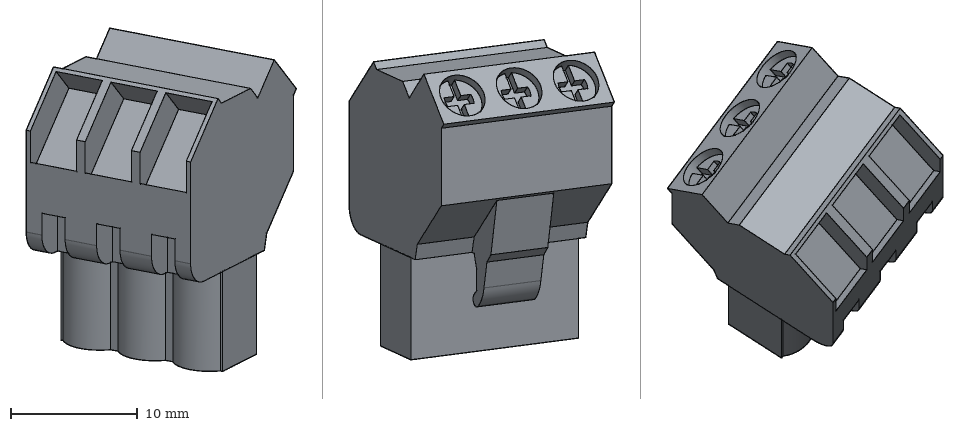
import cadquery as cq
import math


pole_count = 3
width = 15.24
pitch = width / pole_count
pole_centres = [(i - (pole_count - 1) / 2) * pitch for i in range(pole_count)]

lead_rise = 10.44
lead_chamfer = 4.11
lip_drop = 0.52
valley_y = 10.08
valley_z = 12.93
screw_rise = 2.47
screw_face_run = 3.33
eave_drop = 0.43
back_bottom_z = 5.35
skirt_y = 11.43
skirt_z = 1.33
foot_y = 11.08
front_radius = 2.0

peak_y = lead_chamfer
peak_z = lead_rise + lead_chamfer
roof_z = peak_z - lip_drop
tower_y = valley_y + screw_rise
tower_z = valley_z + screw_rise
eave_y = tower_y + screw_face_run
eave_z = tower_z - screw_face_run
back_y = eave_y - eave_drop

plug_length = 8.37
plug_width = 14.98
plug_front_y = 5.02
plug_back_y = 10.13
bulge_width = 4.4
bulge_height = 0.97

pocket_width = 4.28
pocket_depth = 2.7
pocket_top_margin = 0.35
pocket_overrun = 1.83

notch_width = 2.16
notch_height = 3.8
notch_depth = 2.38

latch_width = pitch
latch_root_y = 15.24
thumb_rest = (14.25, 0.5)
finger_top = (13.57, -0.24)
finger_bend_start = (13.07, -2.45)
finger_bend_middle = (12.72, -3.42)
hook_back = (12.12, -4.14)
hook_tip = (11.45, -4.15)
hook_front_z = -3.33
finger_inner_y = 11.84
finger_inner_top_z = -1.2
finger_inner_bottom_z = -2.95

screw_radius = 1.9
screw_recess = 0.74
slot_depth = 0.74
screw_length = 2 * slot_depth
long_slot_width = 0.6
short_slot_width = 0.83
short_slot_radius = 1.24


def side_sketch(x_start):
    """Workplane with local axes Y and Z, extruding toward +X."""
    return cq.Workplane("YZ", origin=(x_start, 0, 0))


def make_shell():
    outline = (
        side_sketch(-width / 2)
        .moveTo(front_radius, 0)
        .radiusArc((0, front_radius), front_radius)
        .lineTo(0, lead_rise)
        .lineTo(peak_y, peak_z)
        .lineTo(peak_y + lip_drop, roof_z)
        .lineTo(valley_y - (roof_z - valley_z), roof_z)
        .lineTo(valley_y, valley_z)
        .lineTo(tower_y, tower_z)
        .lineTo(eave_y, eave_z)
        .lineTo(back_y, eave_z - eave_drop)
        .lineTo(back_y, back_bottom_z)
        .lineTo(skirt_y, skirt_z)
        .lineTo(foot_y, 0)
        .close()
    )
    return outline.extrude(width)


def make_plug():
    """Block with one bowed front per pole."""
    half = plug_width / 2
    outline = cq.Workplane("XY").moveTo(-half, plug_back_y).lineTo(-half, plug_front_y)
    for x in pole_centres:
        outline = outline.lineTo(x - bulge_width / 2, plug_front_y).threePointArc(
            (x, plug_front_y - bulge_height), (x + bulge_width / 2, plug_front_y)
        )
    outline = outline.lineTo(half, plug_front_y).lineTo(half, plug_back_y).close()
    return outline.extrude(-plug_length)


def make_latch():
    """Hooked finger that hangs from the middle of the sloping back face."""
    root_drop = (back_y - latch_root_y) * (back_bottom_z - skirt_z) / (back_y - skirt_y)
    outline = (
        side_sketch(-latch_width / 2)
        .moveTo(latch_root_y, back_bottom_z - root_drop)
        .lineTo(*thumb_rest)
        .lineTo(*finger_top)
        .lineTo(*finger_bend_start)
        .threePointArc(finger_bend_middle, hook_back)
        .threePointArc(hook_tip, (skirt_y, hook_front_z))
        .lineTo(finger_inner_y, finger_inner_bottom_z)
        .lineTo(finger_inner_y, finger_inner_top_z)
        .lineTo(skirt_y, 0)
        .lineTo(foot_y, 0)
        .lineTo(skirt_y, skirt_z)
        .close()
    )
    return outline.extrude(latch_width)


def make_pocket(x):
    """Box cut square into the wire entry face, open through the front face."""
    lower_edge = cq.Plane(origin=(x, 0, lead_rise), xDir=(1, 0, 0), normal=(0, -1, 1))
    length = lead_chamfer * math.sqrt(2) - pocket_top_margin + pocket_overrun
    return (
        cq.Workplane(lower_edge)
        .center(0, length / 2 - pocket_overrun)
        .rect(pocket_width, length)
        .extrude(-pocket_depth)
    )


def make_notch(x):
    """Slot in the lower front edge, open at the front and underneath."""
    start = cq.Workplane("XY", origin=(x, 0, 0))
    return start.box(notch_width, notch_depth, notch_height, centered=(True, False, False))


def screw_plane(x):
    """Plane on the middle of the screw face of one pole."""
    centre = (x, (tower_y + eave_y) / 2, (tower_z + eave_z) / 2)
    return cq.Workplane(cq.Plane(origin=centre, xDir=(1, 0, 0), normal=(0, 1, 1)))


def make_screw_hole(x):
    return screw_plane(x).circle(screw_radius).extrude(-screw_recess - screw_length)


def make_screw(x):
    """Round screw, sunk below the screw face, with a long and a short cross slot."""
    head = screw_plane(x).workplane(offset=-screw_recess)
    screw = head.circle(screw_radius).extrude(-screw_length)
    long_slot = head.rect(long_slot_width, 2 * screw_radius).extrude(-slot_depth)
    short_slot = head.rect(2 * screw_radius, short_slot_width).extrude(-slot_depth)
    short_slot = short_slot.intersect(head.circle(short_slot_radius).extrude(-slot_depth))
    return screw.cut(long_slot).cut(short_slot)


def make_housing():
    housing = make_shell().union(make_plug()).union(make_latch())
    for x in pole_centres:
        housing = housing.cut(make_pocket(x)).cut(make_notch(x)).cut(make_screw_hole(x))
    return housing


housing = make_housing()
screws = [make_screw(x) for x in pole_centres]

result = cq.Compound.makeCompound([housing.val(), *[screw.val() for screw in screws]])